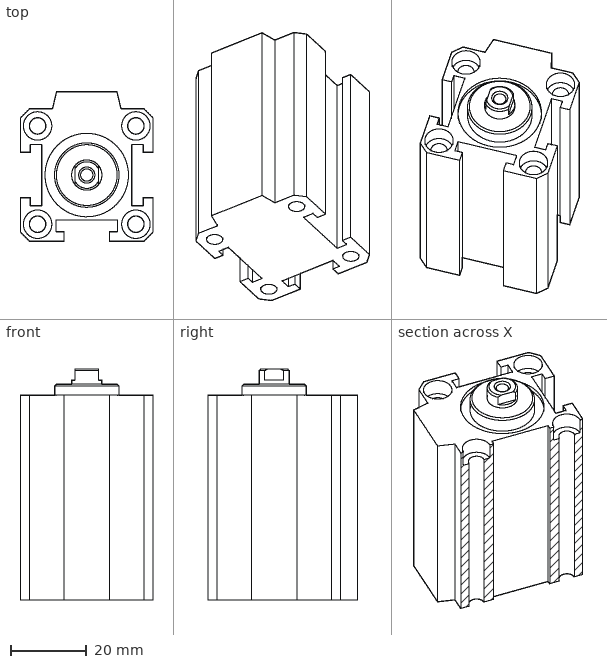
import cadquery as cq

SIDE = 35.0
HEIGHT = 54.05
CORNER_CHAMFER = 2.45

TOTAL_DEPTH = 39.5
RIDGE_HEIGHT = TOTAL_DEPTH - SIDE
RIDGE_BASE_WIDTH = 18.1
RIDGE_TOP_WIDTH = 16.0

SLOT_OPENING = 11.95
SLOT_WIDTH = 16.1
SLOT_LIP = 2.6
SLOT_DEPTH = 5.6

HOLE_PITCH = 25.9
HOLE_DIAMETER = 4.3
COUNTERBORE_DIAMETER = 7.5
COUNTERBORE_DEPTH = 4.5

RECESS_DIAMETER = 22.0
RECESS_DEPTH = 1.3

TOTAL_HEIGHT = 61.0
SHOULDER_DIAMETER = 17.0
SHOULDER_TOP = 57.0
STUD_DIAMETER = 8.0
FLATS_BOTTOM = 58.0
FLATS_WIDTH = 6.2
ROD_CHAMFER = 0.5
STUD_HOLE_DIAMETER = 3.25
STUD_HOLE_MOUTH = 4.3
STUD_HOLE_DEPTH = 6.1

RECESS_FLOOR = HEIGHT - RECESS_DEPTH
HALF_SIDE = SIDE / 2


def make_ridge():
    """Trapezoidal ridge that stands on the +Y face."""
    return (
        cq.Workplane("XY")
        .polyline([
            (-RIDGE_BASE_WIDTH / 2, HALF_SIDE),
            (RIDGE_BASE_WIDTH / 2, HALF_SIDE),
            (RIDGE_TOP_WIDTH / 2, HALF_SIDE + RIDGE_HEIGHT),
            (-RIDGE_TOP_WIDTH / 2, HALF_SIDE + RIDGE_HEIGHT),
        ])
        .close()
        .extrude(HEIGHT)
    )


def make_slot(angle):
    """T-slot cutter for the -Y face, turned about Z by the given angle."""
    opening = (
        cq.Workplane("XY")
        .center(0, -HALF_SIDE + SLOT_DEPTH / 2)
        .rect(SLOT_OPENING, SLOT_DEPTH)
        .extrude(HEIGHT)
    )
    undercut = (
        cq.Workplane("XY")
        .center(0, -HALF_SIDE + (SLOT_LIP + SLOT_DEPTH) / 2)
        .rect(SLOT_WIDTH, SLOT_DEPTH - SLOT_LIP)
        .extrude(HEIGHT)
    )
    return opening.union(undercut).rotate((0, 0, 0), (0, 0, 1), angle)


def make_housing():
    """Extruded housing with ridge, T-slots, mounting holes and rod recess."""
    body = cq.Workplane("XY").rect(SIDE, SIDE).extrude(HEIGHT)
    body = body.edges("|Z").chamfer(CORNER_CHAMFER)
    body = body.union(make_ridge())

    for angle in (-90, 0, 90):
        body = body.cut(make_slot(angle))

    top_plane = cq.Workplane("XY", origin=(0, 0, HEIGHT))
    hole_centres = top_plane.rect(HOLE_PITCH, HOLE_PITCH, forConstruction=True).vertices()
    body = body.cut(hole_centres.circle(HOLE_DIAMETER / 2).extrude(-HEIGHT))
    body = body.cut(hole_centres.circle(COUNTERBORE_DIAMETER / 2).extrude(-COUNTERBORE_DEPTH))

    recess = top_plane.circle(RECESS_DIAMETER / 2).extrude(-RECESS_DEPTH)
    return body.cut(recess)


def make_stud():
    """Chamfered stud with a flat on each X side."""
    stud = (
        cq.Workplane("XY", origin=(0, 0, SHOULDER_TOP))
        .circle(STUD_DIAMETER / 2)
        .extrude(TOTAL_HEIGHT - SHOULDER_TOP)
        .faces(">Z")
        .chamfer(ROD_CHAMFER)
    )
    flats = (
        cq.Workplane("XY", origin=(0, 0, FLATS_BOTTOM))
        .rect(STUD_DIAMETER, STUD_DIAMETER)
        .rect(FLATS_WIDTH, STUD_DIAMETER)
        .extrude(TOTAL_HEIGHT - FLATS_BOTTOM)
    )
    return stud.cut(flats)


def make_stud_hole():
    """Blind hole cutter with a 45-degree countersunk mouth."""
    hole_radius = STUD_HOLE_DIAMETER / 2
    mouth_radius = STUD_HOLE_MOUTH / 2
    hole_bottom = TOTAL_HEIGHT - STUD_HOLE_DEPTH
    mouth_bottom = TOTAL_HEIGHT - (mouth_radius - hole_radius)
    return (
        cq.Workplane("XZ")
        .polyline([
            (0, hole_bottom),
            (hole_radius, hole_bottom),
            (hole_radius, mouth_bottom),
            (mouth_radius, TOTAL_HEIGHT),
            (0, TOTAL_HEIGHT),
        ])
        .close()
        .revolve(360, (0, 0, 0), (0, 1, 0))
    )


def make_rod():
    """Rod whose shoulder rests on the floor of the housing recess."""
    shoulder = (
        cq.Workplane("XY", origin=(0, 0, RECESS_FLOOR))
        .circle(SHOULDER_DIAMETER / 2)
        .extrude(SHOULDER_TOP - RECESS_FLOOR)
        .faces(">Z")
        .chamfer(ROD_CHAMFER)
    )
    return shoulder.union(make_stud()).cut(make_stud_hole())


housing = make_housing()
rod = make_rod()
result = cq.Compound.makeCompound([housing.val(), rod.val()])